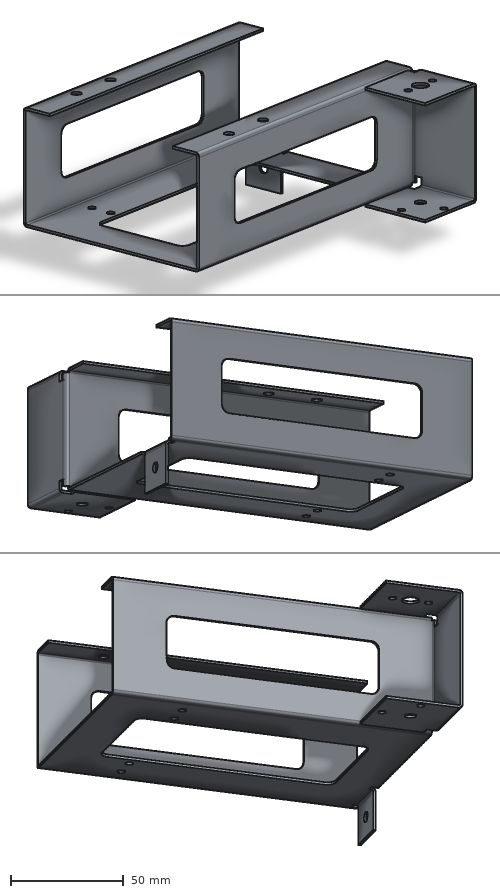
import cadquery as cq

SHEET = 1.2
INNER_BEND = 0.8
OUTER_BEND = SHEET + INNER_BEND

TOTAL_WIDTH = 134.8
TOTAL_LENGTH = 152.0
TOTAL_HEIGHT = 74.8

CHANNEL_WIDTH = 100.0
CHANNEL_LENGTH = TOTAL_LENGTH - OUTER_BEND
TAB_DROP = 18.8
CHANNEL_HEIGHT = TOTAL_HEIGHT - TAB_DROP
LIP_WIDTH = 14.9
MID_X = CHANNEL_WIDTH / 2

WINDOW_RADIUS = 4.0
FLOOR_WINDOW_WIDTH = 50.0
FLOOR_WINDOW_LENGTH = 110.0
FLOOR_WINDOW_FRONT = 20.0
WALL_WINDOW_LENGTH = 100.0
WALL_WINDOW_HEIGHT = 25.0
WALL_WINDOW_FRONT = 25.0

LIP_HOLE_DIAMETER = 4.5
LIP_HOLE_INSET = 6.5
LIP_HOLE_ROWS = (29.0, 53.0)
FLOOR_HOLE_DIAMETER = 3.5
FLOOR_HOLE_INSETS = (9.7, 20.5)
FLOOR_HOLE_Y = 36.0

TAB_LEFT = 6.0
TAB_WIDTH = 20.0
TAB_HOLE_DIAMETER = 4.5
TAB_HOLE_RISE = 9.7
TAB_RELIEF_WIDTH = 3.0
TAB_RELIEF_DEPTH = 3.0

BRACKET_LEFT = CHANNEL_WIDTH + INNER_BEND
BRACKET_WIDTH = TOTAL_WIDTH - BRACKET_LEFT
BRACKET_DEPTH = 36.0
BRACKET_RELIEF_WIDTH = 3.6
BRACKET_RELIEF_DEPTH = 6.1
BRACKET_RELIEF_HEIGHT = 5.2
PIVOT_X = 117.9
PIVOT_Y = 133.4
TOP_PIVOT_DIAMETER = 7.7
BOTTOM_PIVOT_DIAMETER = 5.0
SCREW_DIAMETER = 3.3
TOP_SCREW_OFFSET = 8.5
BOTTOM_SCREW_OFFSET = 13.4


def block(x, y, z, width, length, height):
    """Box placed by its lowest corner."""
    return cq.Workplane("XY").box(width, length, height, centered=False).translate((x, y, z))


def upright_hole(x, y, z, diameter):
    """Round cutter that passes through one sheet whose underside is at z."""
    return cq.Workplane("XY", origin=(x, y, z)).circle(diameter / 2).extrude(SHEET)


def quarter_bend(plane, centre, length):
    """Quarter ring around a bend axis, in the first quadrant of the plane."""
    base = cq.Workplane(plane, origin=centre)
    ring = base.circle(OUTER_BEND).circle(INNER_BEND).extrude(length)
    quadrant = base.rect(OUTER_BEND, OUTER_BEND, centered=False).extrude(length)
    return ring.intersect(quadrant)


def make_channel():
    shell = block(0, 0, 0, CHANNEL_WIDTH, CHANNEL_LENGTH, CHANNEL_HEIGHT).edges("|Y").fillet(OUTER_BEND)
    cavity = block(
        SHEET, 0, SHEET,
        CHANNEL_WIDTH - 2 * SHEET, CHANNEL_LENGTH, CHANNEL_HEIGHT - 2 * SHEET,
    ).edges("|Y").fillet(INNER_BEND)
    opening = block(
        LIP_WIDTH, 0, CHANNEL_HEIGHT - SHEET,
        CHANNEL_WIDTH - 2 * LIP_WIDTH, CHANNEL_LENGTH, SHEET,
    )
    return shell.cut(cavity).cut(opening)


def cut_windows(body):
    floor_window = block(
        MID_X - FLOOR_WINDOW_WIDTH / 2, FLOOR_WINDOW_FRONT, 0,
        FLOOR_WINDOW_WIDTH, FLOOR_WINDOW_LENGTH, SHEET,
    ).edges("|Z").fillet(WINDOW_RADIUS)
    wall_windows = block(
        0, WALL_WINDOW_FRONT, (CHANNEL_HEIGHT - WALL_WINDOW_HEIGHT) / 2,
        CHANNEL_WIDTH, WALL_WINDOW_LENGTH, WALL_WINDOW_HEIGHT,
    ).edges("|X").fillet(WINDOW_RADIUS)
    return body.cut(floor_window).cut(wall_windows)


def cut_channel_holes(body):
    for inset in (LIP_HOLE_INSET, CHANNEL_WIDTH - LIP_HOLE_INSET):
        for y in LIP_HOLE_ROWS:
            body = body.cut(upright_hole(inset, y, CHANNEL_HEIGHT - SHEET, LIP_HOLE_DIAMETER))
    for inset in FLOOR_HOLE_INSETS:
        for x in (inset, CHANNEL_WIDTH - inset):
            body = body.cut(upright_hole(x, FLOOR_HOLE_Y, 0, FLOOR_HOLE_DIAMETER))
    return body


def add_tab(body):
    bend_y = CHANNEL_LENGTH - OUTER_BEND
    for x in (TAB_LEFT - TAB_RELIEF_WIDTH, TAB_LEFT + TAB_WIDTH):
        body = body.cut(block(
            x, CHANNEL_LENGTH - TAB_RELIEF_DEPTH, 0,
            TAB_RELIEF_WIDTH, TAB_RELIEF_DEPTH, SHEET,
        ))
    body = body.cut(block(TAB_LEFT, bend_y, 0, TAB_WIDTH, OUTER_BEND, SHEET))

    bend = quarter_bend("YZ", (TAB_LEFT, bend_y, -INNER_BEND), TAB_WIDTH)
    plate = block(
        TAB_LEFT, CHANNEL_LENGTH - SHEET, -TAB_DROP,
        TAB_WIDTH, SHEET, TAB_DROP - INNER_BEND,
    )
    hole = (
        cq.Workplane("XZ", origin=(TAB_LEFT + TAB_WIDTH / 2, CHANNEL_LENGTH, TAB_HOLE_RISE - TAB_DROP))
        .circle(TAB_HOLE_DIAMETER / 2)
        .extrude(SHEET)
    )
    return body.union(bend).union(plate.cut(hole))


def make_bracket():
    front = TOTAL_LENGTH - BRACKET_DEPTH
    shell = block(BRACKET_LEFT, front, 0, BRACKET_WIDTH, BRACKET_DEPTH, CHANNEL_HEIGHT)
    shell = shell.edges("|X and >Y").fillet(OUTER_BEND)
    cavity = block(
        BRACKET_LEFT, front, SHEET,
        BRACKET_WIDTH, BRACKET_DEPTH - SHEET, CHANNEL_HEIGHT - 2 * SHEET,
    ).edges("|X and >Y").fillet(INNER_BEND)
    bracket = shell.cut(cavity)
    for z in (0, CHANNEL_HEIGHT - BRACKET_RELIEF_HEIGHT):
        bracket = bracket.cut(block(
            BRACKET_LEFT, TOTAL_LENGTH - BRACKET_RELIEF_DEPTH, z,
            BRACKET_RELIEF_WIDTH, BRACKET_RELIEF_DEPTH, BRACKET_RELIEF_HEIGHT,
        ))
    return bracket


def cut_bracket_holes(bracket):
    top_z = CHANNEL_HEIGHT - SHEET
    holes = [
        upright_hole(PIVOT_X, PIVOT_Y, top_z, TOP_PIVOT_DIAMETER),
        upright_hole(PIVOT_X, PIVOT_Y - TOP_SCREW_OFFSET, top_z, SCREW_DIAMETER),
        upright_hole(PIVOT_X, PIVOT_Y + TOP_SCREW_OFFSET, top_z, SCREW_DIAMETER),
        upright_hole(PIVOT_X, PIVOT_Y, 0, BOTTOM_PIVOT_DIAMETER),
        upright_hole(PIVOT_X + BOTTOM_SCREW_OFFSET, PIVOT_Y, 0, SCREW_DIAMETER),
        upright_hole(PIVOT_X, PIVOT_Y - BOTTOM_SCREW_OFFSET, 0, SCREW_DIAMETER),
    ]
    for hole in holes:
        bracket = bracket.cut(hole)
    return bracket


def make_wall_bend():
    """Vertical bend that carries the right wall around into the bracket's back plate."""
    bend = quarter_bend("XY", (0, 0, 0), CHANNEL_HEIGHT - 2 * OUTER_BEND).mirror("YZ")
    return bend.translate((BRACKET_LEFT, CHANNEL_LENGTH, OUTER_BEND))


channel = add_tab(cut_channel_holes(cut_windows(make_channel())))
bracket = cut_bracket_holes(make_bracket())
result = channel.union(make_wall_bend()).union(bracket)